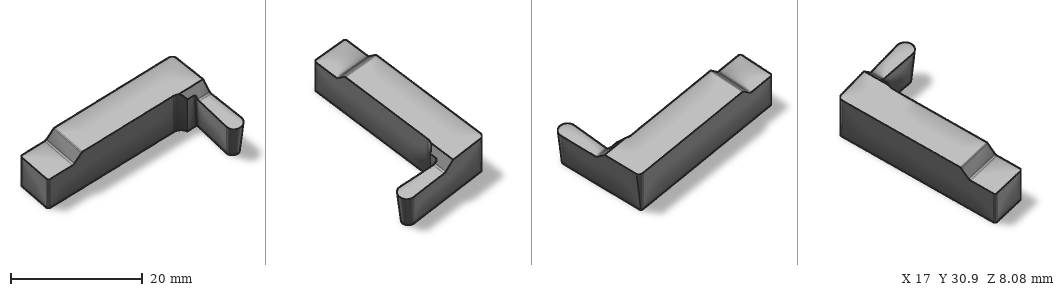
import cadquery as cq
import math

length_x = 17.0
length_y = 30.9
height = 8.08

shank_width = 6.6
tail_corner_radius = 0.4
head_corner_radius = 0.9
head_corner_start_y = 29.46

shoulder_x = 7.83
shoulder_y = 26.6
shoulder_arc_radius = 1.9

step_height = 6.43
step_drop = height - step_height
step_angle = math.radians(45)
step_run = step_drop / math.tan(step_angle)
tail_slope_foot_y = 5.06
tail_slope_top_y = tail_slope_foot_y + step_run
blade_slope_top_x = 6.84
blade_slope_foot_x = blade_slope_top_x + step_run
slope_foot_radius = 0.5
slope_crest_radius = 0.27

tip_radius = 1.5
tip_center_x = length_x - tip_radius
tip_center_y = length_y - tip_radius
flare_angle = math.radians(2.5)
relief_angle = math.radians(3)
blade_root_x = 7.0
blade_root_radius = 0.3

overshoot = 1.0


def tip_at(z):
    """Tip arc radius and centre X at height z; both shrink with the side relief."""
    inset = (step_height - z) * math.tan(relief_angle)
    return tip_radius - inset, tip_center_x - inset


def flank_half_width(x, z):
    """Distance from the blade centre line to a flank, which is tangent to the tip arc."""
    radius, center_x = tip_at(z)
    return radius / math.cos(flare_angle) - (center_x - x) * math.tan(flare_angle)


def blade_section(plane, z):
    radius, center_x = tip_at(z)
    tangent_x = center_x - radius * math.sin(flare_angle)
    tangent_half_width = radius * math.cos(flare_angle)
    root_half_width = flank_half_width(blade_root_x, z)
    return (
        plane.moveTo(blade_root_x, tip_center_y - root_half_width)
        .lineTo(tangent_x, tip_center_y - tangent_half_width)
        .threePointArc(
            (center_x + radius, tip_center_y),
            (tangent_x, tip_center_y + tangent_half_width),
        )
        .lineTo(blade_root_x, tip_center_y + root_half_width)
        .close()
    )


def make_blade():
    lower = blade_section(cq.Workplane("XY"), 0)
    return blade_section(lower.workplane(offset=height), height).loft(ruled=True)


def head_trim_section(plane, z):
    """Region beyond the +Y flank, across the full width of the shank."""
    x_start = -overshoot
    x_end = shoulder_x + overshoot
    y_far = length_y + overshoot
    return plane.polyline([
        (x_start, tip_center_y + flank_half_width(x_start, z)),
        (x_end, tip_center_y + flank_half_width(x_end, z)),
        (x_end, y_far),
        (x_start, y_far),
    ]).close()


def make_head_trim():
    lower = head_trim_section(cq.Workplane("XY"), 0)
    return head_trim_section(lower.workplane(offset=height), height).loft(ruled=True)


def make_shank():
    arc_center_x = shank_width + shoulder_arc_radius
    arc_rise = math.sqrt(shoulder_arc_radius**2 - (arc_center_x - shoulder_x) ** 2)
    arc_start_y = shoulder_y - arc_rise
    head_corner_end_y = head_corner_start_y + head_corner_radius
    outline = (
        cq.Workplane("XY")
        .lineTo(shank_width, 0)
        .lineTo(shank_width, arc_start_y)
        .radiusArc((shoulder_x, shoulder_y), shoulder_arc_radius)
        .lineTo(shoulder_x, length_y)
        .lineTo(head_corner_radius, length_y)
        .lineTo(head_corner_radius, head_corner_end_y)
        .radiusArc((0, head_corner_start_y), -head_corner_radius)
        .close()
    )
    shank = outline.extrude(height)
    shank = shank.edges("|Z and <Y").fillet(tail_corner_radius)
    return shank.cut(make_head_trim())


def make_tail_step():
    """Cutter above the tail, with a rounded foot and crest on its slope."""
    crest_setback = slope_crest_radius * math.tan(step_angle / 2)
    crest_start_y = tail_slope_top_y - crest_setback * math.cos(step_angle)
    crest_start_z = height - crest_setback * math.sin(step_angle)
    profile = (
        cq.Workplane("YZ")
        .moveTo(-overshoot, step_height)
        .lineTo(tail_slope_foot_y, step_height)
        .lineTo(crest_start_y, crest_start_z)
        .radiusArc((tail_slope_top_y + crest_setback, height), slope_crest_radius)
        .lineTo(tail_slope_top_y + crest_setback, height + overshoot)
        .lineTo(-overshoot, height + overshoot)
        .close()
    )
    cutter = profile.extrude(shank_width)
    foot = cq.selectors.NearestToPointSelector((shank_width / 2, tail_slope_foot_y, step_height))
    return cutter.edges(foot).fillet(slope_foot_radius)


def make_blade_step():
    """Cutter above the blade, sloping down from the top of the shank."""
    x_far = length_x + overshoot
    y_start = shoulder_y - shoulder_arc_radius
    profile = (
        cq.Workplane("XZ", origin=(0, y_start, 0))
        .moveTo(blade_slope_top_x, height)
        .lineTo(blade_slope_foot_x, step_height)
        .lineTo(x_far, step_height)
        .lineTo(x_far, height + overshoot)
        .lineTo(blade_slope_top_x, height + overshoot)
        .close()
    )
    cutter = profile.extrude(y_start - length_y - overshoot)
    y_middle = (y_start + length_y + overshoot) / 2
    foot = cq.selectors.NearestToPointSelector((blade_slope_foot_x, y_middle, step_height))
    return cutter.edges(foot).fillet(slope_foot_radius)


def round_blade_root(body):
    """Fillet the upright inner corner between the shoulder and the blade."""
    z_middle = height / 2
    corner_y = tip_center_y - flank_half_width(shoulder_x, z_middle)
    corner = cq.selectors.NearestToPointSelector((shoulder_x, corner_y, z_middle))
    return body.edges(corner).fillet(blade_root_radius)


body = make_shank().union(make_blade())
body = round_blade_root(body)
result = body.cut(make_tail_step()).cut(make_blade_step())